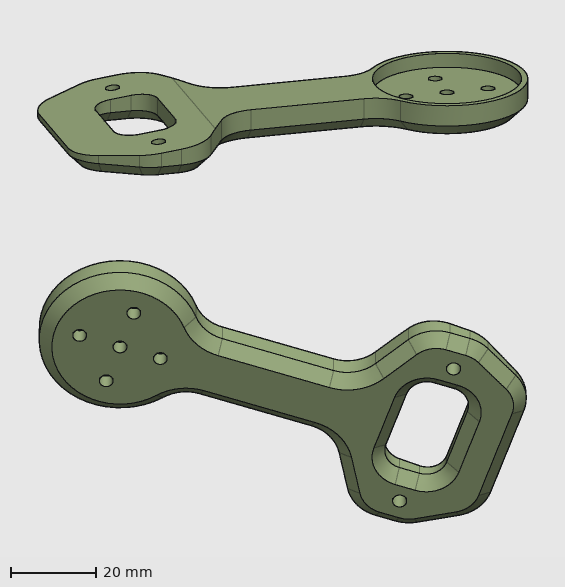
import cadquery as cq
import math

length = 114.9
thickness = 8.0
disc_radius = 19.0
arm_width = 16.3
corner_radius = 10.0
bottom_chamfer = 3.0

dish_radius = 17.5
dish_depth = 3.5
disc_hole_diameter = 3.2
disc_hole_offset = 10.0

head_width = 54.0
shoulder_y = -66.8
lower_corner_y = -80.1
shoulder_angle = 30.0
lower_side_angle = 60.0

window_width = 25.0
window_height = 15.0
window_radius = 5.0
window_y = -76.0
head_hole_diameter = 3.3
head_hole_spacing = 39.1

slope_start_y = -61.8
slope_angle = 6.0

end_y = disc_radius - length
half_arm = arm_width / 2
half_head = head_width / 2


def make_body():
    """Disc, arm and head with rounded corners."""
    neck_y = shoulder_y + (half_head - half_arm) * math.tan(math.radians(shoulder_angle))
    end_x = half_head - (lower_corner_y - end_y) / math.tan(math.radians(lower_side_angle))
    right_side = [
        (half_arm, 0),
        (half_arm, neck_y),
        (half_head, shoulder_y),
        (half_head, lower_corner_y),
        (end_x, end_y),
    ]
    left_side = [(-x, y) for x, y in reversed(right_side)]
    arm_and_head = cq.Workplane("XY").polyline(right_side + left_side).close().extrude(thickness)
    disc = cq.Workplane("XY").circle(disc_radius).extrude(thickness)
    body = disc.union(arm_and_head)
    corners = body.edges("|Z").filter(lambda edge: edge.Center().y < -disc_radius / 2)
    return corners.fillet(corner_radius)


def make_slope_cutter():
    """Wedge above the sloping top of the head."""
    run = slope_start_y - end_y
    drop = run * math.tan(math.radians(slope_angle))
    return (
        cq.Workplane("YZ")
        .polyline([(slope_start_y, thickness), (end_y, thickness), (end_y, thickness - drop)])
        .close()
        .extrude(half_head, both=True)
    )


def make_dish():
    floor = cq.Workplane("XY").workplane(offset=thickness - dish_depth)
    return floor.circle(dish_radius).extrude(dish_depth)


def make_disc_holes():
    d = disc_hole_offset
    centres = [(0, 0), (d, 0), (-d, 0), (0, d), (0, -d)]
    return cq.Workplane("XY").pushPoints(centres).circle(disc_hole_diameter / 2).extrude(thickness)


def make_window():
    base = cq.Workplane("XY").center(0, window_y)
    return base.rect(window_width, window_height).extrude(thickness).edges("|Z").fillet(window_radius)


def make_head_holes():
    centres = [(-head_hole_spacing / 2, window_y), (head_hole_spacing / 2, window_y)]
    return cq.Workplane("XY").pushPoints(centres).circle(head_hole_diameter / 2).extrude(thickness)


result = (
    make_body()
    .cut(make_window())
    .faces("<Z")
    .chamfer(bottom_chamfer)
    .cut(make_slope_cutter())
    .cut(make_dish())
    .cut(make_disc_holes())
    .cut(make_head_holes())
)